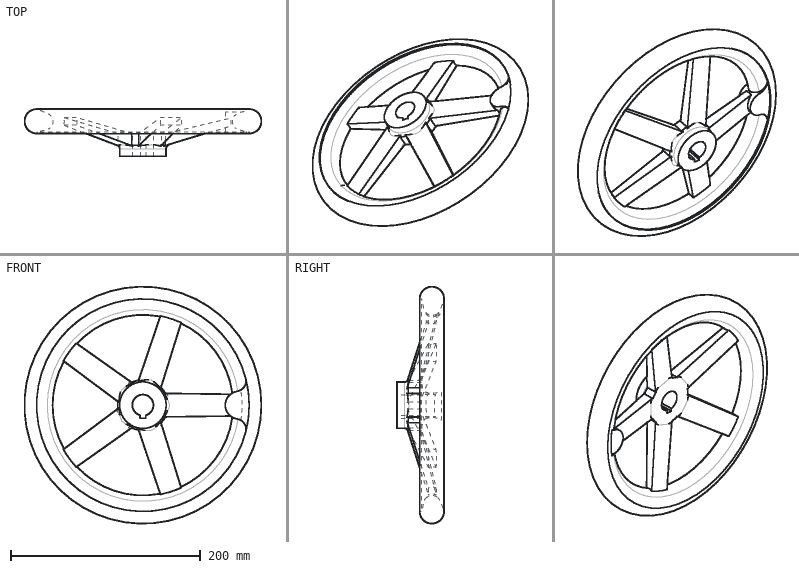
import cadquery as cq
import math

OUTER_RADIUS = 125.0
TOTAL_DEPTH = 50.0
RIM_WIDTH = 26.0
OPENING_RADIUS = 95.0
BEVEL_INNER_RADIUS = 101.0
BEVEL_DEPTH = 4.5
BEVEL_STEP = 2.0

HUB_FACE_RADIUS = 24.5
HUB_BODY_RADIUS = 26.7
HUB_LENGTH = 25.0
COLLAR_BLEND_RADIUS = 4.8

BORE_DIAMETER = 22.0
KEYWAY_WIDTH = 6.0
KEYWAY_REACH = 13.8

SPOKE_COUNT = 5
SPOKE_ROOT_WIDTH = 25.6
SPOKE_TIP_WIDTH = 23.0
SPOKE_TIP_RADIUS = 102.0
SPOKE_FRONT_SLOPE = 0.305
SPOKE_BACK_SLOPE = 0.237
SPOKE_CROSSING_RADIUS = 65.5

BOSS_RADIUS = 14.7
BOSS_CENTER_X = 101.5
BOSS_BLEND_RADIUS = 11.2
BOSS_BACK_RECESS = 3.2

HUB_FACE_Y = -TOTAL_DEPTH / 2
RIM_BACK_Y = TOTAL_DEPTH / 2
RIM_FRONT_Y = RIM_BACK_Y - RIM_WIDTH
BEVEL_START_Y = RIM_FRONT_Y + BEVEL_STEP
BOSS_BACK_Y = RIM_BACK_Y - BOSS_BACK_RECESS
RIM_MID_Y = RIM_FRONT_Y + RIM_WIDTH / 2
RIM_ROUND = RIM_WIDTH / 2
RIM_CENTER_RADIUS = OUTER_RADIUS - RIM_ROUND
HUB_BACK_Y = HUB_FACE_Y + HUB_LENGTH
SPOKE_FRONT_AXIS_Y = RIM_FRONT_Y - SPOKE_FRONT_SLOPE * SPOKE_CROSSING_RADIUS
SPOKE_BACK_AXIS_Y = HUB_BACK_Y - SPOKE_BACK_SLOPE * HUB_BODY_RADIUS

SPOKE_FRONT_ANGLE = math.atan(SPOKE_FRONT_SLOPE)
COLLAR_RADIUS = HUB_FACE_RADIUS + COLLAR_BLEND_RADIUS * (1 - math.sin(SPOKE_FRONT_ANGLE))
COLLAR_END_Y = SPOKE_FRONT_AXIS_Y + SPOKE_FRONT_SLOPE * COLLAR_RADIUS
NECK_END_Y = COLLAR_END_Y - COLLAR_BLEND_RADIUS * math.cos(SPOKE_FRONT_ANGLE)


def revolve_about_y(profile):
    return profile.close().revolve(360, (0, 0, 0), (0, 1, 0))


def front_plane(y):
    """Workplane at depth y with local x = X, local y = Z and its normal towards -Y."""
    return cq.Workplane("XZ", origin=(0, y, 0))


def cylinder(radius, start_y, end_y):
    return front_plane(start_y).circle(radius).extrude(start_y - end_y)


def make_rim():
    bevel_end_y = RIM_FRONT_Y + BEVEL_DEPTH
    mirrored_bevel_end_y = RIM_BACK_Y - BEVEL_DEPTH
    return revolve_about_y(
        cq.Workplane("XY")
        .moveTo(RIM_CENTER_RADIUS, RIM_FRONT_Y)
        .threePointArc((OUTER_RADIUS, RIM_MID_Y), (RIM_CENTER_RADIUS, RIM_BACK_Y))
        .lineTo(BEVEL_INNER_RADIUS, mirrored_bevel_end_y)
        .threePointArc((OPENING_RADIUS, RIM_MID_Y), (BEVEL_INNER_RADIUS, bevel_end_y))
        .lineTo(RIM_CENTER_RADIUS, BEVEL_START_Y)
    )


def spoke_column():
    """Tapered planform of one spoke, extended over the whole depth of the wheel."""
    return (
        front_plane(HUB_FACE_Y)
        .polyline([
            (0, -SPOKE_ROOT_WIDTH / 2),
            (SPOKE_TIP_RADIUS, -SPOKE_TIP_WIDTH / 2),
            (SPOKE_TIP_RADIUS, SPOKE_TIP_WIDTH / 2),
            (0, SPOKE_ROOT_WIDTH / 2),
        ])
        .close()
        .extrude(-TOTAL_DEPTH)
    )


def make_spoke():
    """Tapered spoke along +X, from the wheel axis into the rim."""
    side = (
        cq.Workplane("XY")
        .polyline([
            (0, SPOKE_FRONT_AXIS_Y),
            (SPOKE_TIP_RADIUS, SPOKE_FRONT_AXIS_Y + SPOKE_FRONT_SLOPE * SPOKE_TIP_RADIUS),
            (SPOKE_TIP_RADIUS, SPOKE_BACK_AXIS_Y + SPOKE_BACK_SLOPE * SPOKE_TIP_RADIUS),
            (0, SPOKE_BACK_AXIS_Y),
        ])
        .close()
        .extrude(SPOKE_ROOT_WIDTH, both=True)
    )
    return side.intersect(spoke_column())


def spoke_pattern(shape):
    """Copies of a shape at every spoke position, joined at the wheel axis."""
    pattern = shape
    for index in range(1, SPOKE_COUNT):
        angle = index * 360 / SPOKE_COUNT
        pattern = pattern.union(shape.rotate((0, 0, 0), (0, 1, 0), angle))
    return pattern


def make_hub():
    """Hub with a narrow front neck that flares into the body and onto the spokes."""
    neck_and_flare = revolve_about_y(
        cq.Workplane("XY")
        .moveTo(0, HUB_FACE_Y)
        .lineTo(HUB_FACE_RADIUS, HUB_FACE_Y)
        .lineTo(HUB_FACE_RADIUS, NECK_END_Y)
        .radiusArc((COLLAR_RADIUS, COLLAR_END_Y), COLLAR_BLEND_RADIUS)
        .lineTo(COLLAR_RADIUS, HUB_BACK_Y)
        .lineTo(0, HUB_BACK_Y)
    )
    body = cylinder(HUB_BODY_RADIUS, HUB_FACE_Y, HUB_BACK_Y)
    return neck_and_flare.intersect(body.union(spoke_pattern(spoke_column())))


def make_boss():
    """Handle boss on the rim at +X, blended into the inside of the rim shoulder."""
    blend_center_reach = RIM_CENTER_RADIUS - BOSS_BLEND_RADIUS
    blend_to_boss = BOSS_RADIUS + BOSS_BLEND_RADIUS
    blend_x = (BOSS_CENTER_X**2 + blend_center_reach**2 - blend_to_boss**2) / (2 * BOSS_CENTER_X)
    blend_z = math.sqrt(blend_center_reach**2 - blend_x**2)
    boss_share = BOSS_RADIUS / blend_to_boss
    boss_touch_x = BOSS_CENTER_X + (blend_x - BOSS_CENTER_X) * boss_share
    boss_touch_z = blend_z * boss_share
    rim_share = RIM_CENTER_RADIUS / blend_center_reach
    rim_touch_x = blend_x * rim_share
    rim_touch_z = blend_z * rim_share
    return (
        front_plane(BEVEL_START_Y)
        .moveTo(rim_touch_x, rim_touch_z)
        .radiusArc((boss_touch_x, boss_touch_z), BOSS_BLEND_RADIUS)
        .threePointArc((BOSS_CENTER_X - BOSS_RADIUS, 0), (boss_touch_x, -boss_touch_z))
        .radiusArc((rim_touch_x, -rim_touch_z), BOSS_BLEND_RADIUS)
        .threePointArc((RIM_CENTER_RADIUS, 0), (rim_touch_x, rim_touch_z))
        .close()
        .extrude(BEVEL_START_Y - BOSS_BACK_Y)
    )


def make_bore():
    keyway = (
        front_plane(HUB_FACE_Y)
        .center(0, -KEYWAY_REACH / 2)
        .rect(KEYWAY_WIDTH, KEYWAY_REACH)
        .extrude(-HUB_LENGTH)
    )
    return cylinder(BORE_DIAMETER / 2, HUB_FACE_Y, HUB_BACK_Y).union(keyway)


wheel = make_rim().union(spoke_pattern(make_spoke())).union(make_hub()).union(make_boss())
result = wheel.cut(make_bore())